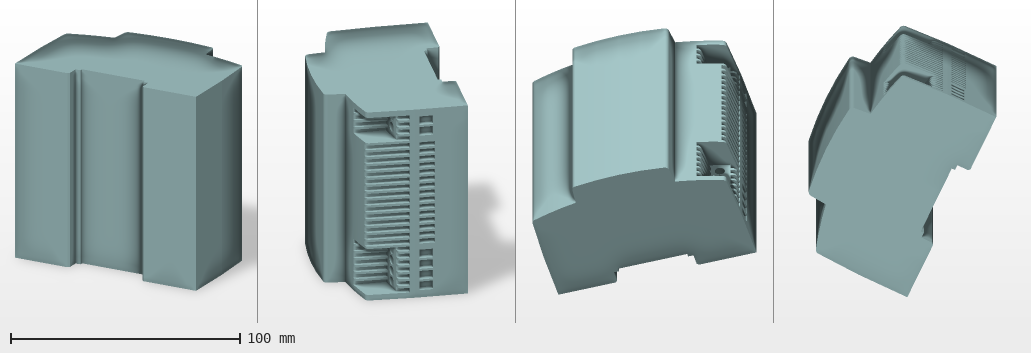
import cadquery as cq
import math

WIDTH = 90.0
DEPTH = 60.83
HEIGHT = 90.0
HALF_WIDTH = WIDTH / 2
HALF_HEIGHT = HEIGHT / 2

ARC_CENTRE_Y = -88.0
FRONT_ARC = (DEPTH - ARC_CENTRE_Y, ARC_CENTRE_Y)
SHOULDER_ARC = (140.0, ARC_CENTRE_Y)
SEAM_ARC = (120.3, ARC_CENTRE_Y)
SHELF_ARC = (160.0, -123.0)

SHOULDER_HALF_WIDTH = 44.0
NECK_HALF_WIDTH = 22.6
FRONT_HALF_WIDTH = 21.8
CORNER_RADIUS = 2.0

MOUTH_HALF_WIDTH = 18.1
MOUTH_DEPTH = 6.0
MOUTH_STEP_HALF_WIDTH = 15.7
MOUTH_STEP_DEPTH = 7.5
MOUTH_CHAMFER = 0.8

SLOT_COUNT = 26
SLOT_PITCH = 3.3
SLOT_HEIGHT = 2.2
SLOT_END_Y = 25.8
SLOT_FLOOR_X = -42.3
UPPER_TERMINAL_SLOTS = 4
LOWER_TERMINAL_SLOTS = 7

RECESS_SETBACK = 10.5
WALL_SLOT_FLOOR_X = SLOT_FLOOR_X + RECESS_SETBACK
SCREW_HOLE_DIAMETER = 4.2
SCREW_HOLE_DEPTH = 4.0
SCREW_HOLE_X = -37.8

WINDOW_TOP_Y = 21.6
NARROW_WINDOW_LENGTH = 7.0
WIDE_WINDOW_LENGTH = 6.2
WIDE_WINDOW_HEIGHT = 4.1
WINDOW_DEPTH = 3.0
TERMINAL_PITCH = 5.08
OUTER_TERMINAL_Z = 39.5
UPPER_TERMINALS = 2
LOWER_TERMINALS = 4

CROSSING_ITERATIONS = 20


def arc_y(arc, x):
    """Y of an arc at a given x."""
    radius, centre_y = arc
    return centre_y + math.sqrt(radius**2 - x**2)


SEAM_EDGE_Y = arc_y(SEAM_ARC, HALF_WIDTH)
SHOULDER_EDGE_Y = arc_y(SHOULDER_ARC, SHOULDER_HALF_WIDTH)
SIDE_TAPER = (HALF_WIDTH - SHOULDER_HALF_WIDTH) / (SHOULDER_EDGE_Y - SEAM_EDGE_Y)


def side_x(y):
    """X of the tapered -X side of the cover at a given y."""
    return -HALF_WIDTH + SIDE_TAPER * (y - SEAM_EDGE_Y)


def arc_crossing(arc, setback):
    """Point where an arc meets the -X side moved inward by setback, found by iteration."""
    x = -HALF_WIDTH + setback
    for _ in range(CROSSING_ITERATIONS):
        x = side_x(arc_y(arc, x)) + setback
    return x, arc_y(arc, x)


def slot_z(index):
    """Centre height of a slot, counted from the top."""
    return ((SLOT_COUNT - 1) / 2 - index) * SLOT_PITCH


def block(x_min, x_max, y_min, y_max, z_min, z_max):
    size = (x_max - x_min, y_max - y_min, z_max - z_min)
    return cq.Workplane("XY").box(*size, centered=False).translate((x_min, y_min, z_min))


def fillet_vertical_edge(body, point):
    """Round the Z-parallel edge that passes through the given (x, y) point."""
    x, y = point
    edge = cq.selectors.NearestToPointSelector((x, y, 0))
    return body.edges("|Z").edges(edge).fillet(CORNER_RADIUS)


def make_base():
    return (
        cq.Workplane("XY")
        .moveTo(-HALF_WIDTH, 0)
        .lineTo(-HALF_WIDTH, SEAM_EDGE_Y)
        .threePointArc((0, arc_y(SEAM_ARC, 0)), (HALF_WIDTH, SEAM_EDGE_Y))
        .lineTo(HALF_WIDTH, 0)
        .lineTo(MOUTH_HALF_WIDTH + MOUTH_CHAMFER, 0)
        .lineTo(MOUTH_HALF_WIDTH, MOUTH_CHAMFER)
        .lineTo(MOUTH_HALF_WIDTH, MOUTH_DEPTH)
        .lineTo(MOUTH_STEP_HALF_WIDTH, MOUTH_DEPTH)
        .lineTo(MOUTH_STEP_HALF_WIDTH, MOUTH_STEP_DEPTH)
        .lineTo(-MOUTH_STEP_HALF_WIDTH, MOUTH_STEP_DEPTH)
        .lineTo(-MOUTH_STEP_HALF_WIDTH, MOUTH_DEPTH)
        .lineTo(-MOUTH_HALF_WIDTH, MOUTH_DEPTH)
        .lineTo(-MOUTH_HALF_WIDTH, MOUTH_CHAMFER)
        .lineTo(-MOUTH_HALF_WIDTH - MOUTH_CHAMFER, 0)
        .close()
        .extrude(HALF_HEIGHT, both=True)
    )


def make_cover():
    neck_y = arc_y(SHOULDER_ARC, NECK_HALF_WIDTH)
    front_edge_y = arc_y(FRONT_ARC, FRONT_HALF_WIDTH)
    mid_x = (SHOULDER_HALF_WIDTH + NECK_HALF_WIDTH) / 2
    mid_y = arc_y(SHOULDER_ARC, mid_x)
    cover = (
        cq.Workplane("XY")
        .moveTo(-HALF_WIDTH, SEAM_EDGE_Y)
        .lineTo(-SHOULDER_HALF_WIDTH, SHOULDER_EDGE_Y)
        .threePointArc((-mid_x, mid_y), (-NECK_HALF_WIDTH, neck_y))
        .lineTo(-FRONT_HALF_WIDTH, front_edge_y)
        .threePointArc((0, DEPTH), (FRONT_HALF_WIDTH, front_edge_y))
        .lineTo(NECK_HALF_WIDTH, neck_y)
        .threePointArc((mid_x, mid_y), (SHOULDER_HALF_WIDTH, SHOULDER_EDGE_Y))
        .lineTo(HALF_WIDTH, SEAM_EDGE_Y)
        .threePointArc((0, arc_y(SEAM_ARC, 0)), (-HALF_WIDTH, SEAM_EDGE_Y))
        .close()
        .extrude(HALF_HEIGHT, both=True)
    )
    for side in (-1, 1):
        cover = fillet_vertical_edge(cover, (side * SHOULDER_HALF_WIDTH, SHOULDER_EDGE_Y))
        cover = fillet_vertical_edge(cover, (side * FRONT_HALF_WIDTH, front_edge_y))
    return cover


def make_recessed_cover(cover):
    """Cover section at the terminals: the shoulder steps down to a curved shelf."""
    wall_foot = arc_crossing(SHELF_ARC, RECESS_SETBACK)
    wall_top_x = side_x(DEPTH) + RECESS_SETBACK
    shelf_end_x = -HALF_WIDTH
    shelf_mid_x = (wall_foot[0] + shelf_end_x) / 2
    recess = (
        cq.Workplane("XY")
        .moveTo(*wall_foot)
        .lineTo(wall_top_x, DEPTH)
        .lineTo(shelf_end_x, DEPTH)
        .lineTo(shelf_end_x, arc_y(SHELF_ARC, shelf_end_x))
        .threePointArc((shelf_mid_x, arc_y(SHELF_ARC, shelf_mid_x)), wall_foot)
        .close()
        .extrude(HALF_HEIGHT, both=True)
    )
    recessed = cover.cut(recess)
    recessed = fillet_vertical_edge(recessed, arc_crossing(SHOULDER_ARC, RECESS_SETBACK))
    return fillet_vertical_edge(recessed, arc_crossing(SHELF_ARC, 0))


def make_slot(index, floor_x):
    z = slot_z(index)
    return block(-HALF_WIDTH, floor_x, SLOT_END_Y, DEPTH, z - SLOT_HEIGHT / 2, z + SLOT_HEIGHT / 2)


def cut_side_slots(cover):
    for index in range(SLOT_COUNT):
        cover = cover.cut(make_slot(index, SLOT_FLOOR_X))
    return cover


def cut_wall_slots(cover, slots):
    """Deeper slots in the recess wall; they stop at the terminal shelf."""
    shelf_radius, shelf_centre_y = SHELF_ARC
    below_shelf = (
        cq.Workplane("XY", origin=(0, shelf_centre_y, -HALF_HEIGHT))
        .circle(shelf_radius)
        .extrude(HEIGHT)
    )
    for index in slots:
        cover = cover.cut(make_slot(index, WALL_SLOT_FLOOR_X).cut(below_shelf))
    return cover


def make_slotted_cover():
    """Cover with recessed sections at both groups of terminals and the row of slots."""
    full = make_cover()
    recessed = make_recessed_cover(full)
    upper_slots = range(UPPER_TERMINAL_SLOTS)
    lower_slots = range(SLOT_COUNT - LOWER_TERMINAL_SLOTS, SLOT_COUNT)

    removed = full.cut(recessed)
    cover = full
    for slots in (upper_slots, lower_slots):
        z_max = slot_z(slots[0]) + SLOT_HEIGHT / 2
        z_min = slot_z(slots[-1]) - SLOT_HEIGHT / 2
        section = block(-HALF_WIDTH, 0, 0, DEPTH, z_min, z_max)
        cover = cover.cut(removed.intersect(section))
        cover = cut_wall_slots(cover, slots)
    return cut_side_slots(cover)


def terminal_heights():
    upper = [OUTER_TERMINAL_Z - i * TERMINAL_PITCH for i in range(UPPER_TERMINALS)]
    lower = [-OUTER_TERMINAL_Z + i * TERMINAL_PITCH for i in range(LOWER_TERMINALS)]
    return upper + lower


def cut_screw_holes(cover):
    """Blind screw holes sunk along -Y into the terminal shelves."""
    shelf_y = arc_y(SHELF_ARC, SCREW_HOLE_X)
    wall_y = arc_y(SHELF_ARC, WALL_SLOT_FLOOR_X)
    bottom_y = shelf_y - SCREW_HOLE_DEPTH
    for z in terminal_heights():
        hole = (
            cq.Workplane("XZ", origin=(SCREW_HOLE_X, bottom_y, z))
            .circle(SCREW_HOLE_DIAMETER / 2)
            .extrude(bottom_y - wall_y)
        )
        cover = cover.cut(hole)
    return cover


def cut_window(base, z, length, height):
    window = block(-HALF_WIDTH, -HALF_WIDTH + WINDOW_DEPTH, WINDOW_TOP_Y - length, WINDOW_TOP_Y,
                   z - height / 2, z + height / 2)
    return base.cut(window)


def cut_windows(base):
    for index in range(UPPER_TERMINAL_SLOTS, SLOT_COUNT - LOWER_TERMINAL_SLOTS):
        base = cut_window(base, slot_z(index), NARROW_WINDOW_LENGTH, SLOT_HEIGHT)
    for z in terminal_heights():
        base = cut_window(base, z, WIDE_WINDOW_LENGTH, WIDE_WINDOW_HEIGHT)
    return base


base = cut_windows(make_base())
cover = cut_screw_holes(make_slotted_cover())

result = base.union(cover, clean=False)